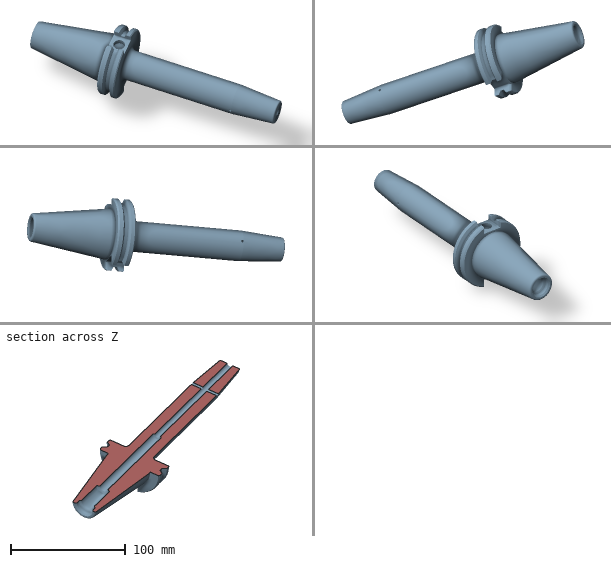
import cadquery as cq
import math

total_length = 228.2
gauge_x = 68.2
flange_start = 70.8
flange_end = 87.0

gauge_radius = 22.25
taper_slope = 7 / 48
taper_end_fillet = 1.5

flange_radius = 31.7
flange_front_chamfer = 1.4
flange_back_chamfer = 1.0
flange_chamfer_depth = 1.0
groove_x = 79.2
groove_floor_width = 3.2
groove_depth = 3.7
groove_flank_angle = 28.0

shank_radius = 13.5
neck_fillet = 3.5
nose_start = 189.7
nose_radius = 10.5
nose_fillet = 1.1

slot_width = 16.0
top_slot_height = 24.9
bottom_slot_height = 22.4
slot_fillet = 1.0
slot_chamfer = 1.4
slot_rim_chamfer = 0.5
top_floor_chamfer = 0.7

recess_diameter = 10.0
recess_depth = 4.5

mouth_radius = 9.5
pilot_radius = 8.2
pilot_depth = 4.5
thread_radius = 6.6
thread_depth = 29.7
coolant_radius = 4.0
coolant_depth = 114.1
clamping_radius = 2.7
drill_point_angle = 60.0

cross_hole_x = 188.8
cross_hole_diameter = 2.3


def revolve_about_x(profile):
    """Turn a closed (x, radius) profile about the X axis."""
    return profile.close().revolve(360, (0, 0, 0), (1, 0, 0))


def make_body():
    small_radius = gauge_radius - taper_slope * gauge_x
    groove_half_floor = groove_floor_width / 2
    groove_half_mouth = groove_half_floor + groove_depth * math.tan(math.radians(groove_flank_angle))
    groove_floor_radius = flange_radius - groove_depth
    chamfered_radius = flange_radius - flange_chamfer_depth
    profile = (
        cq.Workplane("XY")
        .moveTo(0, 0)
        .lineTo(0, small_radius)
        .lineTo(gauge_x, gauge_radius)
        .lineTo(flange_start, gauge_radius)
        .lineTo(flange_start, chamfered_radius)
        .lineTo(flange_start + flange_front_chamfer, flange_radius)
        .lineTo(groove_x - groove_half_mouth, flange_radius)
        .lineTo(groove_x - groove_half_floor, groove_floor_radius)
        .lineTo(groove_x + groove_half_floor, groove_floor_radius)
        .lineTo(groove_x + groove_half_mouth, flange_radius)
        .lineTo(flange_end - flange_back_chamfer, flange_radius)
        .lineTo(flange_end, chamfered_radius)
        .lineTo(flange_end, shank_radius + neck_fillet)
        .radiusArc((flange_end + neck_fillet, shank_radius), -neck_fillet)
        .lineTo(nose_start, shank_radius)
        .lineTo(total_length, nose_radius)
        .lineTo(total_length, 0)
    )
    body = revolve_about_x(profile)
    body = body.faces("<X").edges().fillet(taper_end_fillet)
    return body.faces(">X").edges().fillet(nose_fillet)


def make_bore():
    mouth_depth = mouth_radius - pilot_radius
    cone = math.tan(math.radians(drill_point_angle))
    thread_end = thread_depth + (thread_radius - coolant_radius) / cone
    coolant_end = coolant_depth + (coolant_radius - clamping_radius) / cone
    profile = (
        cq.Workplane("XY")
        .moveTo(0, 0)
        .lineTo(0, mouth_radius)
        .lineTo(mouth_depth, pilot_radius)
        .lineTo(pilot_depth, pilot_radius)
        .lineTo(pilot_depth + pilot_radius - thread_radius, thread_radius)
        .lineTo(thread_depth, thread_radius)
        .lineTo(thread_end, coolant_radius)
        .lineTo(coolant_depth, coolant_radius)
        .lineTo(coolant_end, clamping_radius)
        .lineTo(total_length, clamping_radius)
        .lineTo(total_length, 0)
    )
    return revolve_about_x(profile)


def slot_outline(plane, half_width, floor_height):
    """Rectangle across the flange, open beyond the flange rim."""
    top = flange_radius + 2.3
    return plane.polyline([
        (-half_width, floor_height),
        (half_width, floor_height),
        (half_width, top),
        (-half_width, top),
    ]).close()


def make_slot(floor_height, floor_chamfer):
    """Upward-facing drive slot with chamfers at the flange front face and along its rim."""
    length = flange_end - flange_start
    half_width = slot_width / 2
    top = flange_radius + 2.3
    front = cq.Workplane("YZ", origin=(flange_start, 0, 0))

    channel = slot_outline(front, half_width, floor_height).extrude(length)
    channel = channel.edges("|X and <Z").fillet(slot_fillet)

    flare = slot_outline(front, half_width + slot_chamfer, floor_height - floor_chamfer)
    flare = slot_outline(flare.workplane(offset=slot_chamfer), half_width, floor_height)
    flare = flare.loft(ruled=True)

    rim_height = math.sqrt(flange_radius**2 - half_width**2)
    bevel_height = rim_height - slot_rim_chamfer
    bevel_half_width = half_width + top - bevel_height
    bevel = front.polyline([
        (-half_width, bevel_height),
        (half_width, bevel_height),
        (bevel_half_width, top),
        (-bevel_half_width, top),
    ]).close().extrude(length)

    return channel.union(flare).union(bevel)


def make_recess():
    return (
        cq.Workplane("XY", origin=(groove_x, 0, top_slot_height - recess_depth))
        .circle(recess_diameter / 2)
        .extrude(recess_depth)
    )


def make_cross_hole():
    return (
        cq.Workplane("XZ", origin=(cross_hole_x, 0, 0))
        .circle(cross_hole_diameter / 2)
        .extrude(shank_radius + 2.3, both=True)
    )


top_slot = make_slot(top_slot_height, top_floor_chamfer)
bottom_slot = make_slot(bottom_slot_height, 0).rotate((0, 0, 0), (1, 0, 0), 180)

result = (
    make_body()
    .cut(make_bore())
    .cut(top_slot)
    .cut(bottom_slot)
    .cut(make_recess())
    .cut(make_cross_hole())
)